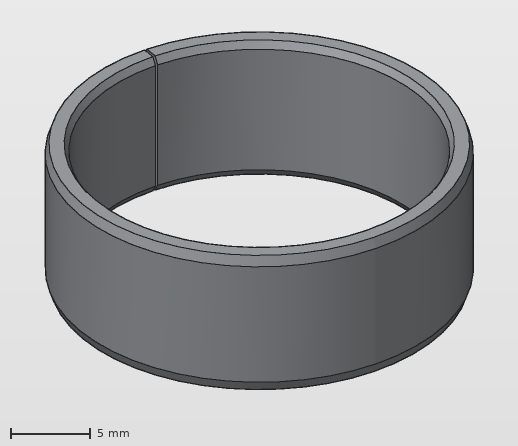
import cadquery as cq

outer_diameter = 27.0
inner_diameter = 24.0
height = 10.0
outer_chamfer_height = 0.7
outer_chamfer_width = 0.25
inner_chamfer_height = 0.5
inner_chamfer_width = 0.3
slit_width = 0.15

outer_radius = outer_diameter / 2
inner_radius = inner_diameter / 2
wall = outer_radius - inner_radius


def wall_section():
    """Chamfered wall cross-section in the XZ plane, right of the axis."""
    half_height = height / 2
    outer_edge_z = half_height - outer_chamfer_height
    inner_edge_z = half_height - inner_chamfer_height
    outer_rim = outer_radius - outer_chamfer_width
    inner_rim = inner_radius + inner_chamfer_width
    return (
        cq.Workplane("XZ")
        .moveTo(inner_radius, -inner_edge_z)
        .lineTo(inner_rim, -half_height)
        .lineTo(outer_rim, -half_height)
        .lineTo(outer_radius, -outer_edge_z)
        .lineTo(outer_radius, outer_edge_z)
        .lineTo(outer_rim, half_height)
        .lineTo(inner_rim, half_height)
        .lineTo(inner_radius, inner_edge_z)
        .close()
    )


ring = wall_section().revolve(360, (0, 0, 0), (0, 1, 0))

slit_center_x = -(outer_radius + inner_radius) / 2
slit_center_y = slit_width / 2
slit = (
    cq.Workplane("XY")
    .box(2 * wall, slit_width, 2 * height)
    .translate((slit_center_x, slit_center_y, 0))
)

result = ring.cut(slit)